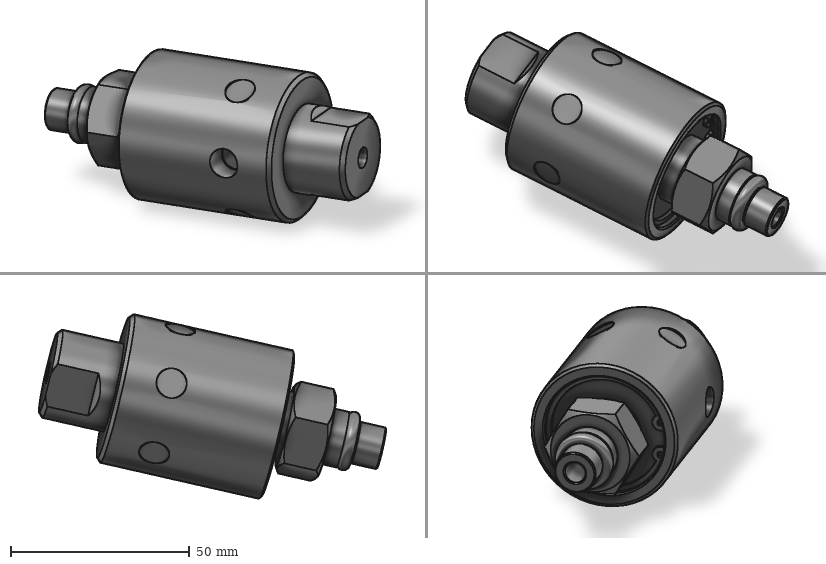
import cadquery as cq
import math

LENGTH = 96.2
BORE_D = 6.0

BORE_CHAMFER = 0.4
TIP_D = 12.0
TIP_CHAMFER = 0.4
GROOVE_START = 7.8
GROOVE_D = 10.0
SEAL_CORD_D = 3.5
SEAL_OUTER_D = 16.8
COLLAR_D = 16.1
COLLAR_CHAMFER = 0.2
HEX_START = 15.8
HEX_END = 27.9
HEX_ACROSS_FLATS = 24.0
HEX_FACE_D = 23.1
HEX_BEVEL_LENGTH = 1.4
NECK_D = 20.0
NECK_FILLET = 0.4
STEM_D = 15.0

BARREL_START = 30.0
BARREL_END = 77.4
BARREL_D = 42.8
FRONT_BEVEL_LENGTH = 0.6
FRONT_BEVEL_HEIGHT = 0.9
REAR_BEVEL = 1.2
SPIGOT_D = 25.4
SPIGOT_BEVEL = 1.25
FLAT_HEIGHT = 11.0
FLAT_START = 83.2
CUT_MARGIN = 1.0

RECESS_D = 35.0
RECESS_DEPTH = 3.2
RECESS_CHAMFER = 0.5
RING_THICKNESS = 1.25
RING_INNER_D = 32.1
RING_EAR_RADIUS = 2.3
RING_EAR_Y = -15.8
RING_EAR_Z = 4.8
RING_EYE_D = 1.7

PORT_X = 63.1
PORT_COUNT = 6
PORT_D = 8.6
PORT_CORE_D = 8.0
PORT_SPOT_DEPTH = 0.5
PORT_COUNTERBORE_DEPTH = 7.7

RECESS_FLOOR = BARREL_START + RECESS_DEPTH


def cylinder(start, end, diameter):
    """Solid cylinder along X between two X positions."""
    return cq.Workplane("YZ", origin=(start, 0, 0)).circle(diameter / 2).extrude(end - start)


def revolved(points):
    """Turn an (x, radius) outline about the X axis."""
    return cq.Workplane("XY").polyline(points).close().revolve(360, (0, 0, 0), (1, 0, 0))


def bevelled_hexagon():
    """Hexagon with two flats facing +Z and -Z, its corners turned down by a cone at each end."""
    corner_radius = HEX_ACROSS_FLATS / math.sqrt(3)
    prism = (
        cq.Workplane("YZ", origin=(HEX_START, 0, 0))
        .polygon(6, 2 * corner_radius)
        .extrude(HEX_END - HEX_START)
    )
    envelope = revolved([
        (HEX_START, 0),
        (HEX_START, HEX_FACE_D / 2),
        (HEX_START + HEX_BEVEL_LENGTH, corner_radius),
        (HEX_END - HEX_BEVEL_LENGTH, corner_radius),
        (HEX_END, HEX_FACE_D / 2),
        (HEX_END, 0),
    ])
    return prism.intersect(envelope)


def seal_ring():
    """Round-section ring seated slightly into the core of the groove between the tip and the collar."""
    cord_radius = SEAL_CORD_D / 2
    ring_radius = SEAL_OUTER_D / 2 - cord_radius
    return (
        cq.Workplane("XY", origin=(GROOVE_START + cord_radius, 0, 0))
        .center(0, ring_radius)
        .circle(cord_radius)
        .revolve(360, (0, -ring_radius, 0), (1, -ring_radius, 0))
    )


def neck_fillet():
    """Small concave fillet between the hexagon's rear face and the neck."""
    neck_radius = NECK_D / 2
    inset = NECK_FILLET * (1 - math.sqrt(0.5))
    return (
        cq.Workplane("XY")
        .moveTo(HEX_END, neck_radius - NECK_FILLET)
        .lineTo(HEX_END, neck_radius + NECK_FILLET)
        .threePointArc((HEX_END + inset, neck_radius + inset), (HEX_END + NECK_FILLET, neck_radius))
        .lineTo(HEX_END + NECK_FILLET, neck_radius - NECK_FILLET)
        .close()
        .revolve(360, (0, 0, 0), (1, 0, 0))
    )


def make_rotor():
    groove_end = GROOVE_START + SEAL_CORD_D
    tip = cylinder(0, GROOVE_START, TIP_D).faces("<X or >X").chamfer(TIP_CHAMFER)
    groove_core = cylinder(GROOVE_START, groove_end, GROOVE_D)
    collar = cylinder(groove_end, HEX_START, COLLAR_D).faces(">X").chamfer(COLLAR_CHAMFER)
    neck = cylinder(HEX_END, RECESS_FLOOR, NECK_D)
    stem = cylinder(RECESS_FLOOR, BARREL_END, STEM_D)

    body = tip.union(groove_core).union(seal_ring()).union(collar)
    body = body.union(bevelled_hexagon()).union(neck_fillet()).union(neck).union(stem)

    bore_mouth = cq.Workplane("YZ").circle(BORE_D / 2 + BORE_CHAMFER).extrude(BORE_CHAMFER, taper=45)
    return body.cut(cylinder(0, BARREL_END, BORE_D)).cut(bore_mouth)


def housing_blank():
    """Barrel and spigot turned in one piece, with the front recess."""
    barrel_radius = BARREL_D / 2
    spigot_radius = SPIGOT_D / 2
    recess_radius = RECESS_D / 2
    return revolved([
        (RECESS_FLOOR, 0),
        (RECESS_FLOOR, recess_radius),
        (BARREL_START + RECESS_CHAMFER, recess_radius),
        (BARREL_START, recess_radius + RECESS_CHAMFER),
        (BARREL_START, barrel_radius - FRONT_BEVEL_HEIGHT),
        (BARREL_START + FRONT_BEVEL_LENGTH, barrel_radius),
        (BARREL_END - REAR_BEVEL, barrel_radius),
        (BARREL_END, barrel_radius - REAR_BEVEL),
        (BARREL_END, spigot_radius),
        (LENGTH - SPIGOT_BEVEL, spigot_radius),
        (LENGTH, spigot_radius - SPIGOT_BEVEL),
        (LENGTH, 0),
    ])


def spigot_flat(side):
    """Cutter for a wrench flat on the +Z (side 1) or -Z (side -1) of the spigot, run out at 45 degrees."""
    clear_height = SPIGOT_D / 2 + CUT_MARGIN
    rise = clear_height - FLAT_HEIGHT
    return (
        cq.Workplane("XZ")
        .polyline([
            (FLAT_START, side * FLAT_HEIGHT),
            (LENGTH, side * FLAT_HEIGHT),
            (LENGTH, side * clear_height),
            (FLAT_START - rise, side * clear_height),
        ])
        .close()
        .extrude(SPIGOT_D / 2, both=True)
    )


def retaining_ring():
    """Open ring with two eyed ears, its gap facing -Y."""
    start = RECESS_FLOOR - RING_THICKNESS
    ear_centres = [(RING_EAR_Y, RING_EAR_Z), (RING_EAR_Y, -RING_EAR_Z)]
    gap_half_width = RING_EAR_Z - RING_EAR_RADIUS
    disc = cylinder(start, RECESS_FLOOR, RECESS_D)
    ring = disc.cut(cylinder(start, RECESS_FLOOR, RING_INNER_D))
    ears = (
        cq.Workplane("YZ", origin=(start, 0, 0))
        .pushPoints(ear_centres)
        .circle(RING_EAR_RADIUS)
        .extrude(RING_THICKNESS)
    )
    eyes = (
        cq.Workplane("YZ", origin=(start, 0, 0))
        .pushPoints(ear_centres)
        .circle(RING_EYE_D / 2)
        .extrude(RING_THICKNESS)
    )
    gap = (
        cq.Workplane("YZ", origin=(start, 0, 0))
        .center(-RECESS_D / 2, 0)
        .rect(RECESS_D / 2, 2 * gap_half_width)
        .extrude(RING_THICKNESS)
    )
    return ring.union(ears.intersect(disc)).cut(eyes).cut(gap)


def radial_cutter(index, diameter, floor_radius):
    """Cutter for one port, from beyond the barrel down to a distance from the axis; index 0 faces -Y."""
    cutter = cq.Workplane("XZ", origin=(PORT_X, -floor_radius, 0)).circle(diameter / 2)
    cutter = cutter.extrude(BARREL_D / 2)
    return cutter.rotate((0, 0, 0), (1, 0, 0), index * 360 / PORT_COUNT)


def make_housing():
    housing = housing_blank().union(retaining_ring())
    for side in (1, -1):
        housing = housing.cut(spigot_flat(side))
    housing = housing.cut(radial_cutter(0, PORT_D, BARREL_D / 2 - PORT_COUNTERBORE_DEPTH))
    housing = housing.cut(radial_cutter(0, PORT_CORE_D, 0))
    for index in range(1, PORT_COUNT):
        housing = housing.cut(radial_cutter(index, PORT_D, BARREL_D / 2 - PORT_SPOT_DEPTH))
    stem_socket = cylinder(RECESS_FLOOR, BARREL_END, STEM_D)
    return housing.cut(stem_socket).cut(cylinder(BARREL_END, LENGTH, BORE_D))


rotor = make_rotor()
housing = make_housing()

result = cq.Compound.makeCompound([rotor.val(), housing.val()])